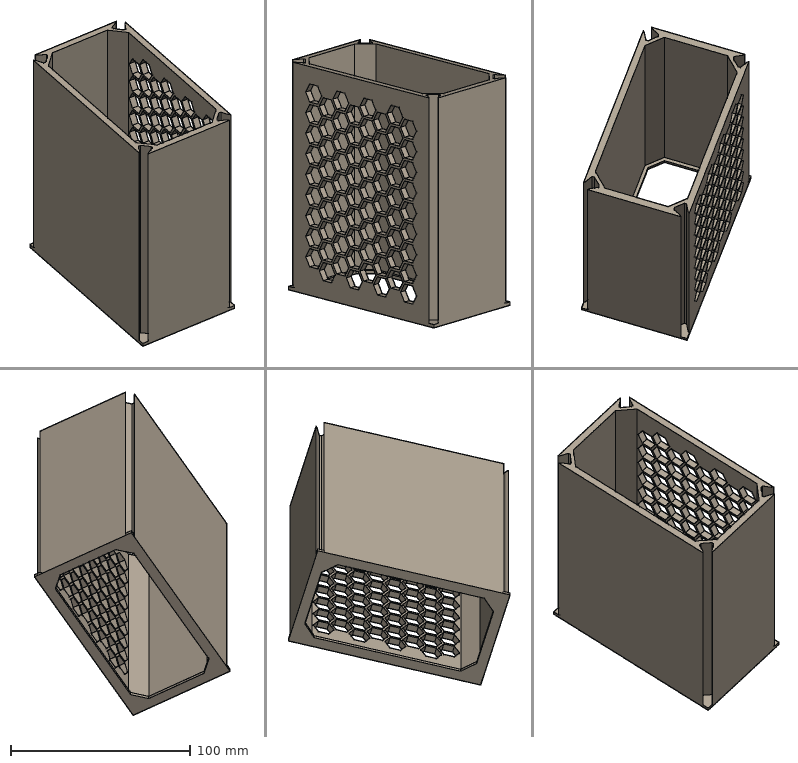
import cadquery as cq
import math

length = 111.3
width = 62.2
height = 133.0

wall = 4.0
cavity_chamfer = 8.5
base_thickness = 2.0
lip = 2.0
lip_chamfer = cavity_chamfer - lip * (2 - math.sqrt(2))

slot_mouth = 3.6
slot_neck = 0.9
slot_far = 8.9
slot_near = 3.3
slot_floor = 13.5

hex_pitch = 12.0
hex_flats = 10.5
hex_columns = 8
hex_rows = 9
grille_top = 122.9


def chamfered_prism(size_x, size_y, chamfer, bottom, top):
    """Upright rectangular prism with its four upright edges chamfered."""
    prism = cq.Workplane("XY").workplane(offset=bottom).rect(size_x, size_y).extrude(top - bottom)
    return prism.edges("|Z").chamfer(chamfer)


def corner_slot(sign_x, sign_y):
    """Dovetail channel opening onto one upright edge, stopping at the base."""
    profile = [
        (0, 0),
        (slot_mouth, 0),
        (slot_mouth + slot_neck, slot_neck),
        (slot_far, slot_near),
        (slot_far, slot_floor - slot_far),
        (slot_floor - slot_far, slot_far),
        (slot_near, slot_far),
        (slot_neck, slot_mouth + slot_neck),
        (0, slot_mouth),
    ]
    points = [(sign_x * (length / 2 - x), sign_y * (width / 2 - y)) for x, y in profile]
    return (
        cq.Workplane("XY")
        .workplane(offset=base_thickness)
        .polyline(points)
        .close()
        .extrude(height - base_thickness)
    )


def honeycomb():
    """Hexagonal holes in staggered columns through the back wall."""
    column_pitch = hex_pitch * math.sqrt(3) / 2
    centres = []
    for column in range(hex_columns):
        x = ((hex_columns - 1) / 2 - column) * column_pitch
        stagger = hex_pitch / 2 * (column % 2)
        for row in range(hex_rows):
            centres.append((x, grille_top - hex_flats / 2 - stagger - row * hex_pitch))
    return (
        cq.Workplane("XZ", origin=(0, width / 2, 0))
        .pushPoints(centres)
        .polygon(6, 2 * hex_flats / math.sqrt(3))
        .extrude(wall)
    )


cavity_x = length - 2 * wall
cavity_y = width - 2 * wall
opening_x = cavity_x - 2 * lip
opening_y = cavity_y - 2 * lip

result = cq.Workplane("XY").box(length, width, height, centered=(True, True, False))
result = result.cut(chamfered_prism(cavity_x, cavity_y, cavity_chamfer, base_thickness, height))
result = result.cut(chamfered_prism(opening_x, opening_y, lip_chamfer, 0, base_thickness))
for sign_x in (-1, 1):
    for sign_y in (-1, 1):
        result = result.cut(corner_slot(sign_x, sign_y))
result = result.cut(honeycomb())